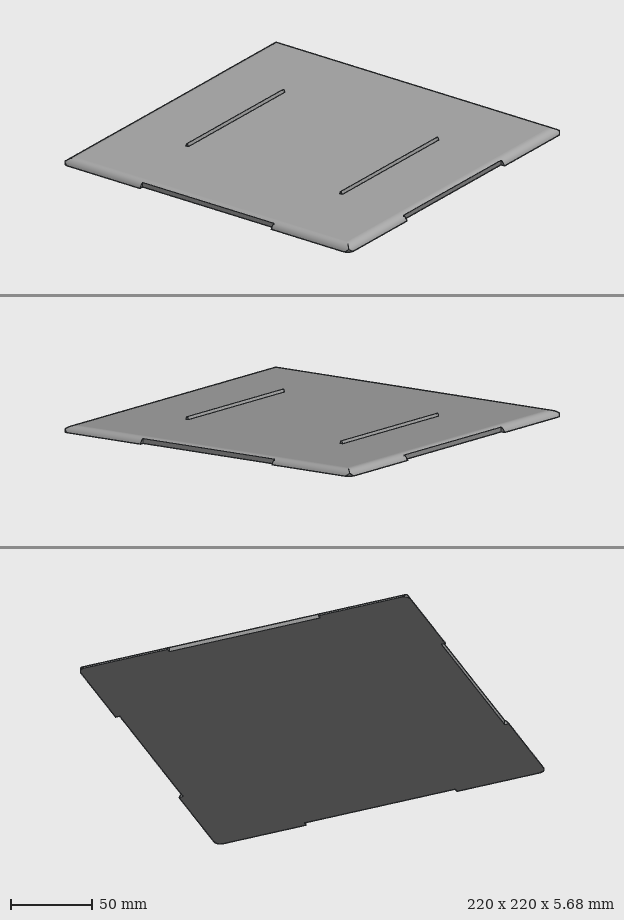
import cadquery as cq
import math

side = 220.0
thickness = 4.0
corner_radius = 4.5

rim_width = 6.1
rim_radius = (rim_width**2 + thickness**2) / (2 * thickness)

notch_length = 100.5
notch_depth = 2.75

ridge_length = 99.6
ridge_x = 58.9
ridge_base_width = 2.0
ridge_height = 1.68
crest_radius = 0.5



def rim_cutter():
    """Long bar that leaves an arched rim along the +X side."""
    outer_x = side / 2
    flat_x = outer_x - rim_width
    half_angle = math.asin(rim_width / rim_radius) / 2
    middle = (
        flat_x + rim_radius * math.sin(half_angle),
        thickness - rim_radius * (1 - math.cos(half_angle)),
    )
    clear_x = outer_x + rim_width
    clear_z = thickness + rim_width
    return (
        cq.Workplane("XZ")
        .moveTo(outer_x, 0)
        .threePointArc(middle, (flat_x, thickness))
        .lineTo(flat_x, clear_z)
        .lineTo(clear_x, clear_z)
        .lineTo(clear_x, 0)
        .close()
        .extrude(side, both=True)
    )


def notch_cutter():
    """Box that removes the middle of the +X side through the full thickness."""
    return cq.Workplane("XY").box(2 * notch_depth, notch_length, 3 * thickness).translate((side / 2, 0, 0))


def ridge():
    """Ridge near the +X side, with sides tangent to its rounded crest."""
    base_half = ridge_base_width / 2
    crest_centre_height = ridge_height - crest_radius
    base_to_centre = math.hypot(base_half, crest_centre_height)
    touch_angle = math.acos(crest_radius / base_to_centre) - math.atan2(crest_centre_height, base_half)
    touch_half = crest_radius * math.cos(touch_angle)
    touch_z = thickness + crest_centre_height + crest_radius * math.sin(touch_angle)
    return (
        cq.Workplane("XZ")
        .moveTo(ridge_x + base_half, thickness)
        .lineTo(ridge_x + touch_half, touch_z)
        .threePointArc((ridge_x, thickness + ridge_height), (ridge_x - touch_half, touch_z))
        .lineTo(ridge_x - base_half, thickness)
        .close()
        .extrude(ridge_length / 2, both=True)
    )


def turned(body, angle):
    """Copy of a body turned about the vertical axis through the plate centre."""
    return body.rotate((0, 0, 0), (0, 0, 1), angle)


plate = cq.Workplane("XY").box(side, side, thickness, centered=(True, True, False))
plate = plate.edges("|Z").fillet(corner_radius)
for angle in (0, 90, 180, 270):
    plate = plate.cut(turned(rim_cutter(), angle))
    plate = plate.cut(turned(notch_cutter(), angle))

result = plate
for angle in (0, 180):
    result = result.union(turned(ridge(), angle))